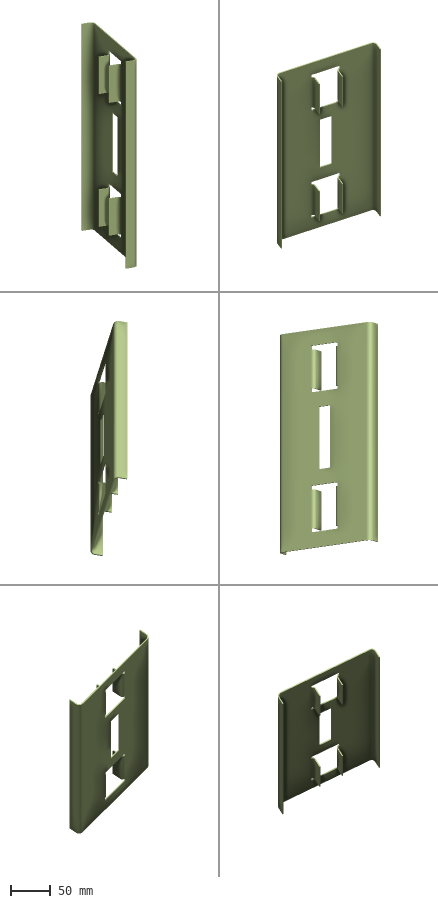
import cadquery as cq

width = 140.0
depth = 16.5
height = 280.0
sheet = 1.5
flange_bend_radius = 6.2

window_width = 40.0
window_height = 60.0
window_offset = 90.0
tab_height = 50.0
tab_bend_radius = 3.0

slot_width = 16.8
slot_height = 80.0

front_y = -depth / 2
back_y = depth / 2
web_front_y = back_y - sheet


def make_channel():
    """Bent sheet with a flat web and two rounded side flanges."""
    outer = (
        cq.Workplane("XY")
        .box(width, depth, height)
        .edges("|Z and >Y")
        .fillet(flange_bend_radius)
    )
    inner = (
        cq.Workplane("XY")
        .box(width - 2 * sheet, depth, height)
        .edges("|Z and >Y")
        .fillet(flange_bend_radius - sheet)
        .translate((0, -sheet, 0))
    )
    return outer.cut(inner)


def make_opening(opening_width, opening_height, center_z):
    """Cutter for a rectangular opening through the web."""
    return (
        cq.Workplane("XY")
        .box(opening_width, 2 * sheet, opening_height)
        .translate((0, back_y - sheet / 2, center_z))
    )


def make_tab(center_z):
    """Tab bent forward from the left edge of a window."""
    edge_x = -window_width / 2
    outer_face_x = edge_x + tab_bend_radius
    inner_face_x = outer_face_x + sheet
    bend_end_y = web_front_y - tab_bend_radius
    outside_radius = tab_bend_radius + sheet
    return (
        cq.Workplane("XY", origin=(0, 0, center_z - tab_height / 2))
        .moveTo(edge_x, back_y)
        .radiusArc((inner_face_x, bend_end_y), outside_radius)
        .lineTo(inner_face_x, front_y)
        .lineTo(outer_face_x, front_y)
        .lineTo(outer_face_x, bend_end_y)
        .radiusArc((edge_x, web_front_y), -tab_bend_radius)
        .close()
        .extrude(tab_height)
    )


result = make_channel().cut(make_opening(slot_width, slot_height, 0))
for window_z in (-window_offset, window_offset):
    left_tab = make_tab(window_z)
    right_tab = left_tab.mirror("YZ")
    result = result.cut(make_opening(window_width, window_height, window_z))
    result = result.union(left_tab).union(right_tab)